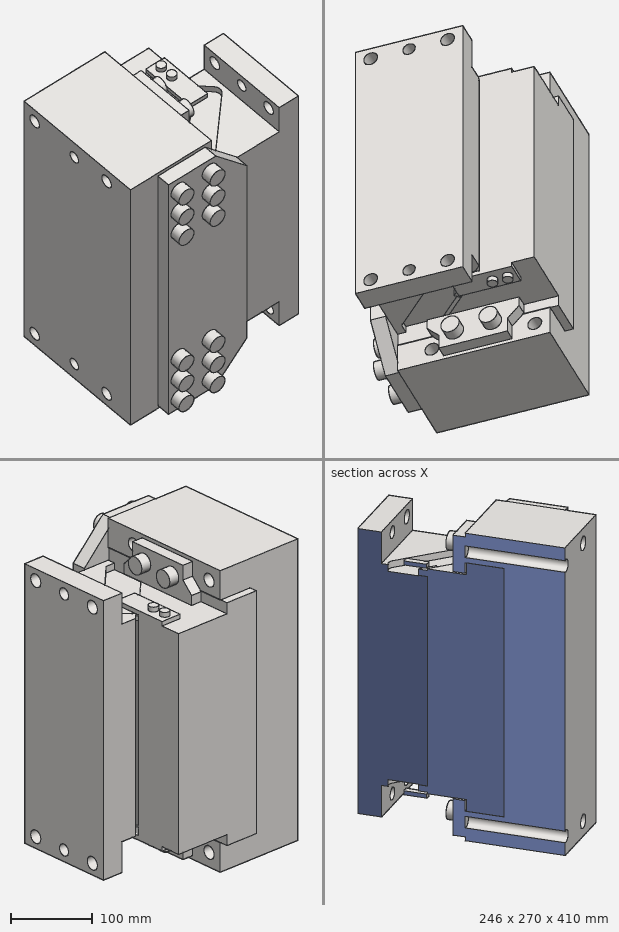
import cadquery as cq
import math


block_length = 200.0
block_height = 130.0
block_width = 410.0
end_margin = 20.0

mount_hole_dia = 18.0
mount_hole_x = (end_margin, 155.0)
mount_hole_z = block_width / 2 - end_margin
dowel_hole_dia = 16.0
dowel_hole_x = 94.5
dowel_hole_z = 180.0

slot_floor_y = 80.0
slot_width = 330.0

keeper_thickness = 16.0
keeper_start_x = 34.0
keeper_end_x = 155.0
keeper_inner_z = 151.0
keeper_outer_z = 200.0
keeper_chamfer = 15.5
keeper_shoulder_z = 180.0
bolt_dia = 24.0
bolt_head = 15.0
keeper_bolt_x = (69.0, 119.0)
keeper_bolt_z = 179.5

stop_thickness = 20.0
stop_bottom_y = 44.0
stop_shoulder_y = 120.0
stop_bevel = 50.0
stop_half_width = 200.0
stop_bolt_y = (60.0, 110.0)
stop_bolt_z = (110.0, 145.0, 180.0)

slider_front_x = -11.0
slider_top_y = 210.0
slider_half_width = 150.0
foot_top_y = block_height - 1.0
slide_sum = 271.0

key_sum = 282.5
key_end_difference = 65.5
key_length = 40.0

cover_start_x = 18.5
cover_length = 81.0
cover_height = 30.0
cover_thickness = 6.0
cover_bolt_dia = 13.0
cover_bolt_head = 6.5
cover_bolt_x = (29.7, 49.7)

driver_left_x = 59.0
driver_top_y = 270.0
driver_half_width = 148.0
flange_thickness = 31.0
flange_half_width = 190.0
lip_sum = 275.5
pocket_depth = 9.0
pocket_left_difference = 139.0
pocket_right_sum = 333.0
pocket_right_x = 189.0
pocket_radius = 10.0
flange_hole_x = (79.0, 129.5, 180.0)
flange_hole_dia = (18.0, 16.0, 18.0)
flange_hole_z = 174.0

SIDES = (-1, 1)


def box(x0, x1, y0, y1, z0, z1):
    """Axis-aligned box between two opposite corners."""
    return cq.Workplane("XY").box(x1 - x0, y1 - y0, z1 - z0, centered=False).translate((x0, y0, z0))


def y_cylinder(dia, x, z, y0, y1):
    """Cylinder along +Y."""
    return cq.Workplane(cq.Solid.makeCylinder(dia / 2, y1 - y0, cq.Vector(x, y0, z), cq.Vector(0, 1, 0)))


def x_cylinder(dia, y, z, x0, x1):
    """Cylinder along +X."""
    return cq.Workplane(cq.Solid.makeCylinder(dia / 2, x1 - x0, cq.Vector(x0, y, z), cq.Vector(1, 0, 0)))


def prism_z(points, z0, z1):
    """XY outline extruded from z0 to z1."""
    return cq.Workplane("XY").workplane(offset=z0).polyline(points).close().extrude(z1 - z0)


def mirrored(shape):
    """The shape together with its mirror image across Z = 0."""
    return shape.union(shape.mirror("XY"))


def diagonal_point(total, difference):
    """Point (x, y) with x + y = total and y - x = difference."""
    return ((total - difference) / 2, (total + difference) / 2)


def make_keeper():
    """Keeper plate on the +Z side with bevelled outer corners and two bolt heads."""
    top_y = block_height + keeper_thickness
    bevel_end_z = keeper_shoulder_z - keeper_chamfer
    outline = [
        (keeper_start_x, keeper_inner_z),
        (keeper_start_x, bevel_end_z),
        (keeper_start_x + keeper_chamfer, keeper_shoulder_z),
        (keeper_start_x + keeper_chamfer, keeper_outer_z),
        (keeper_end_x - keeper_chamfer, keeper_outer_z),
        (keeper_end_x - keeper_chamfer, keeper_shoulder_z),
        (keeper_end_x, bevel_end_z),
        (keeper_end_x, keeper_inner_z),
    ]
    keeper = cq.Workplane("XZ", origin=(0, top_y, 0)).polyline(outline).close().extrude(keeper_thickness)
    for x in keeper_bolt_x:
        keeper = keeper.union(y_cylinder(bolt_dia, x, keeper_bolt_z, top_y, top_y + bolt_head))
    return keeper


def make_stop_plate():
    """Stop plate on the +X face with bevelled upper corners and its bolt heads."""
    stop_top_y = stop_shoulder_y + stop_bevel
    top_half_width = stop_half_width - stop_bevel
    outline = [
        (stop_bottom_y, -stop_half_width),
        (stop_shoulder_y, -stop_half_width),
        (stop_top_y, -top_half_width),
        (stop_top_y, top_half_width),
        (stop_shoulder_y, stop_half_width),
        (stop_bottom_y, stop_half_width),
    ]
    plate = cq.Workplane("YZ", origin=(block_length, 0, 0)).polyline(outline).close().extrude(stop_thickness)
    outer_x = block_length + stop_thickness
    for y in stop_bolt_y:
        for z in stop_bolt_z:
            for side in SIDES:
                plate = plate.union(x_cylinder(bolt_dia, y, side * z, outer_x, outer_x + bolt_head))
    return plate


def make_base():
    """Block with T-slot and mounting holes, carrying the keepers and the stop plate."""
    base = box(0, block_length, 0, block_height, -block_width / 2, block_width / 2)
    base = base.cut(box(0, block_length, slot_floor_y, block_height, -slot_width / 2, slot_width / 2))
    for side in SIDES:
        for x in mount_hole_x:
            base = base.cut(y_cylinder(mount_hole_dia, x, side * mount_hole_z, 0, block_height))
        base = base.cut(y_cylinder(dowel_hole_dia, dowel_hole_x, side * dowel_hole_z, 0, block_height))
    return base.union(mirrored(make_keeper())).union(make_stop_plate())


def make_cover():
    """End cover on the +Z end of the slider with two bolt heads."""
    bottom_y = slider_top_y - cover_height
    outer_z = slider_half_width + cover_thickness
    cover = box(
        cover_start_x, cover_start_x + cover_length, bottom_y, slider_top_y, slider_half_width, outer_z
    )
    heads = (
        cq.Workplane("XY", origin=(0, slider_top_y - cover_height / 2, outer_z))
        .pushPoints([(x, 0) for x in cover_bolt_x])
        .circle(cover_bolt_dia / 2)
        .extrude(cover_bolt_head)
    )
    return cover.union(heads)


def make_key():
    """Key on the sliding face that runs in the +Z pocket of the driver."""
    key_top_difference = key_end_difference + key_length * math.sqrt(2)
    outline = [
        diagonal_point(slide_sum, key_end_difference),
        diagonal_point(key_sum, key_end_difference),
        diagonal_point(key_sum, key_top_difference),
        diagonal_point(slide_sum, key_top_difference),
    ]
    return prism_z(outline, driver_half_width - pocket_depth, driver_half_width)


def make_slider():
    """Wedge-shaped slider with a wide foot, end covers and keys."""
    foot = box(slider_front_x, block_length, slot_floor_y, foot_top_y, -slot_width / 2, slot_width / 2)
    wedge_outline = [
        (slider_front_x, slot_floor_y),
        (slider_front_x, slider_top_y),
        (slide_sum - slider_top_y, slider_top_y),
        (slide_sum - block_height, block_height),
        (slide_sum - block_height, slot_floor_y),
    ]
    wedge = prism_z(wedge_outline, -slider_half_width, slider_half_width)
    return foot.union(wedge).union(mirrored(make_cover())).union(mirrored(make_key()))


def make_pocket():
    """V-shaped pocket with a rounded apex, in the +Z end of the driver."""
    outline = [
        diagonal_point(slide_sum, pocket_left_difference),
        diagonal_point(pocket_right_sum, pocket_left_difference),
        (pocket_right_x, pocket_right_sum - pocket_right_x),
        (pocket_right_x, block_height),
        (slide_sum - block_height, block_height),
    ]
    pocket = prism_z(outline, driver_half_width - pocket_depth, driver_half_width)
    return pocket.edges("|Z").edges(">Y").fillet(pocket_radius)


def make_driver():
    """Driver with a 45 degree sliding face, a wide flange on top and pocketed ends."""
    body_outline = [
        (driver_left_x, driver_top_y),
        (driver_left_x, lip_sum - driver_left_x),
        diagonal_point(lip_sum, pocket_left_difference),
        diagonal_point(slide_sum, pocket_left_difference),
        (slide_sum - block_height, block_height),
        (block_length, block_height),
        (block_length, driver_top_y),
    ]
    body = prism_z(body_outline, -driver_half_width, driver_half_width)
    flange_bottom_y = driver_top_y - flange_thickness
    flange = box(
        driver_left_x, block_length, flange_bottom_y, driver_top_y, -flange_half_width, flange_half_width
    )
    driver = body.union(flange).cut(mirrored(make_pocket()))
    for x, dia in zip(flange_hole_x, flange_hole_dia):
        for side in SIDES:
            driver = driver.cut(y_cylinder(dia, x, side * flange_hole_z, flange_bottom_y, driver_top_y))
    return driver


base = make_base()
slider = make_slider()
driver = make_driver()

result = cq.Compound.makeCompound([body.solids().val() for body in (base, slider, driver)])